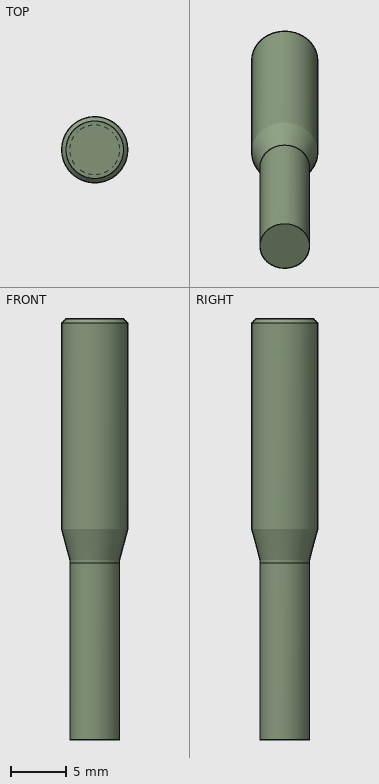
import cadquery as cq
import math

OVERALL_LENGTH = 38.1
CUTTER_LENGTH = 16.0
COLLAR_LENGTH = 0.25

SHANK_RADIUS = 3.0
CUTTER_RADIUS = 2.25

CONE_HALF_ANGLE = 15.0
cone_length = (SHANK_RADIUS - CUTTER_RADIUS) / math.tan(math.radians(CONE_HALF_ANGLE))

END_CHAMFER = 0.4

cone_bottom = CUTTER_LENGTH + COLLAR_LENGTH
neck_top = cone_bottom + cone_length


def make_shank():
    """Gripped shank with its chamfered end, tapered neck and collar, as one turned body."""
    profile = (
        cq.Workplane("XZ")
        .moveTo(0, CUTTER_LENGTH)
        .lineTo(CUTTER_RADIUS, CUTTER_LENGTH)
        .lineTo(CUTTER_RADIUS, cone_bottom)
        .lineTo(SHANK_RADIUS, neck_top)
        .lineTo(SHANK_RADIUS, OVERALL_LENGTH - END_CHAMFER)
        .lineTo(SHANK_RADIUS - END_CHAMFER, OVERALL_LENGTH)
        .lineTo(0, OVERALL_LENGTH)
        .close()
    )
    return profile.revolve(360, (0, 0, 0), (0, 1, 0))


def make_cutter():
    """Plain round cutter blank with a flat tip, butted against the collar."""
    return cq.Workplane("XY").circle(CUTTER_RADIUS).extrude(CUTTER_LENGTH)


shank = make_shank()
cutter = make_cutter()

result = cq.Compound.makeCompound([shank.val(), cutter.val()])